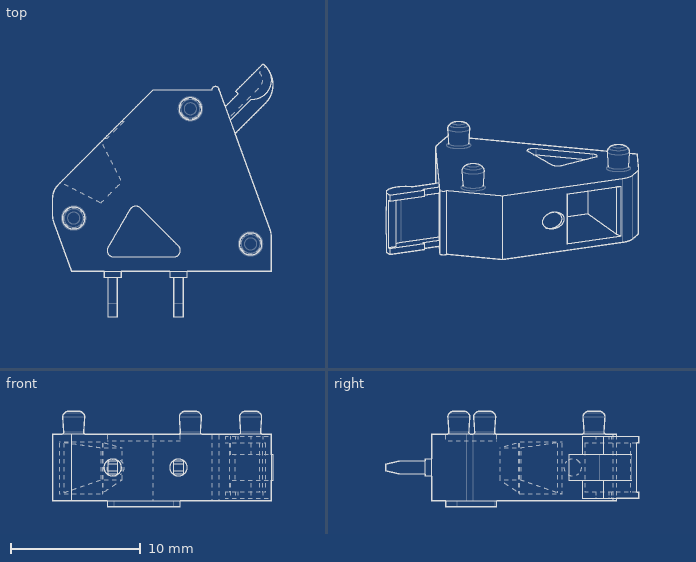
import cadquery as cq
import math

housing_width = 16.87
housing_depth = 13.98
housing_height = 5.13
flank_tan = math.tan(math.radians(20))
left_corner_y = 4.04
right_corner_y = 2.95
slant_corner_y = 6.22
corner_radius = 1.5
bead_radius = 0.27
mid_z = housing_height / 2

diagonal = math.sqrt(0.5)
funnel_top_y = 10.06
funnel_length = 4.66
funnel_low_z = 0.53
funnel_high_z = 4.52
funnel_depth = 3.32
funnel_floor_low_z = 1.6
funnel_floor_high_z = 4.08
funnel_floor_inset = 1.19
funnel_lip_depth = 0.3
funnel_lip_inset = 0.21
test_hole_y = 10.88
test_hole_radius = 0.66
test_hole_depth = 0.2

triangle_radius = 0.5
triangle_left_x = 4.74
triangle_right_x = 9.35
triangle_base_y = 1.6
boss_height = 0.47
pocket_depth = 0.5

peg_places = [(10.63, 12.52), (1.64, 4.1), (15.27, 2.1)]
peg_height = 1.77
peg_root_radius = 0.78
peg_head_radius = 0.85
peg_head_z = 1.33
peg_shoulder_radius = 0.72
peg_shoulder_z = 1.62
peg_crown_radius = 0.47
peg_head_round = 0.37
peg_root_fillet = 0.15

pin_x = 4.65
pin_pitch = 5.07
pin_count = 2
pin_length = 3.53
pin_taper_y = 2.48
pin_width = 0.75
pin_thickness = 1.01
pin_tip_thickness = 0.53
collar_radius = 0.66
collar_length = 0.49

lever_x = 15.37
lever_reach = 4.29
lever_height = 4.78
lever_end_radius = 1.5
lever_rim = 0.27
lever_rim_start = -1.5
lever_tip_x = math.sqrt(lever_end_radius**2 - lever_rim**2)
lever_underside = -1.01
lever_wall = 0.49
cove_radius = 0.82
web_height = 2.0
web_end_radius = 2.0
web_end_x = -0.53
overall_depth = 19.5
lever_y = overall_depth - pin_length - (lever_tip_x + lever_rim) * diagonal


def make_housing():
    right_top_x = housing_width - (housing_depth - right_corner_y) * flank_tan
    block = (
        cq.Workplane("XY")
        .moveTo(left_corner_y * flank_tan, 0)
        .lineTo(housing_width, 0)
        .lineTo(housing_width, right_corner_y)
        .lineTo(right_top_x, housing_depth)
        .lineTo(housing_depth - slant_corner_y, housing_depth)
        .lineTo(0, slant_corner_y)
        .lineTo(0, left_corner_y)
        .close()
        .extrude(housing_height)
    )
    for x, y in [(0, left_corner_y), (0, slant_corner_y), (housing_width, right_corner_y)]:
        corner = cq.selectors.NearestToPointSelector((x, y, mid_z))
        block = block.edges("|Z").edges(corner).fillet(corner_radius)
    bead_x = right_top_x - bead_radius * math.hypot(1, flank_tan)
    bead = cq.Workplane("XY").center(bead_x, housing_depth).circle(bead_radius).extrude(housing_height)
    return block.union(bead)


def slant_frame():
    """Origin on the slant at the funnel mouth; local X up the slant, local Y up, normal inward."""
    origin = (funnel_top_y - slant_corner_y, funnel_top_y, 0)
    return cq.Plane(origin=origin, xDir=(1, 1, 0), normal=(1, -1, 0))


def make_funnel():
    def section(depth, inset):
        share = depth / funnel_depth
        low = funnel_low_z + share * (funnel_floor_low_z - funnel_low_z)
        high = funnel_high_z + share * (funnel_floor_high_z - funnel_high_z)
        frame = cq.Workplane(slant_frame()).workplane(offset=depth)
        outline = frame.center(-funnel_length / 2, (low + high) / 2)
        return outline.rect(funnel_length - 2 * inset, high - low).wires().val()

    mouth = section(0, 0)
    lip = section(funnel_lip_depth, funnel_lip_inset)
    floor = section(funnel_depth, funnel_floor_inset)
    return cq.Workplane(cq.Solid.makeLoft([mouth, lip, floor], True))


def make_test_hole():
    """Hole along X whose floor runs parallel to the slanted face."""
    reach = housing_width
    bore = cq.Workplane("YZ").center(test_hole_y, mid_z).circle(test_hole_radius).extrude(reach)
    floor_depth = test_hole_depth * diagonal
    slab = cq.Workplane(slant_frame()).rect(2 * reach, 2 * reach).extrude(floor_depth)
    return bore.intersect(slab)


def make_triangle(bottom_z, height):
    base = triangle_right_x - triangle_left_x
    rise = base / (1 + 1 / math.tan(math.radians(60)))
    centres = [
        (triangle_left_x, triangle_base_y),
        (triangle_right_x, triangle_base_y),
        (triangle_right_x - rise, triangle_base_y + rise),
    ]
    return (
        cq.Workplane("XY", origin=(0, 0, bottom_z))
        .polyline(centres)
        .close()
        .offset2D(triangle_radius)
        .extrude(height)
    )


def make_peg(x, y):
    """Tapered peg with a flared root and a rounded head, revolved about its axis."""
    return (
        cq.Workplane("XZ", origin=(x, y, housing_height))
        .lineTo(peg_root_radius + peg_root_fillet, 0)
        .radiusArc((peg_root_radius, peg_root_fillet), peg_root_fillet)
        .lineTo(peg_head_radius, peg_head_z)
        .radiusArc((peg_shoulder_radius, peg_shoulder_z), -peg_head_round)
        .radiusArc((peg_crown_radius, peg_height), -peg_head_round)
        .lineTo(0, peg_height)
        .close()
        .revolve(360, (0, 0), (0, 1))
    )


def make_pin(x):
    collar = cq.Workplane("XZ", origin=(x, 0, mid_z)).circle(collar_radius).extrude(collar_length)
    blade = (
        cq.Workplane("YZ", origin=(x, 0, mid_z))
        .polyline([
            (0, pin_thickness / 2),
            (-pin_taper_y, pin_thickness / 2),
            (-pin_length, pin_tip_thickness / 2),
            (-pin_length, -pin_tip_thickness / 2),
            (-pin_taper_y, -pin_thickness / 2),
            (0, -pin_thickness / 2),
        ])
        .close()
        .extrude(pin_width / 2, both=True)
    )
    return collar.union(blade)


def make_lever():
    frame = cq.Workplane(cq.Plane(origin=(lever_x, lever_y, mid_z), xDir=(1, 1, 0), normal=(0, 0, 1)))
    under_x = -math.sqrt(lever_end_radius**2 - lever_underside**2)
    handle = (
        frame.moveTo(lever_tip_x, lever_rim)
        .lineTo(lever_rim_start, lever_rim)
        .lineTo(lever_rim_start, 0)
        .lineTo(-lever_reach, 0)
        .lineTo(-lever_reach, lever_underside)
        .lineTo(under_x, lever_underside)
        .threePointArc((lever_end_radius * diagonal, -lever_end_radius * diagonal), (lever_tip_x, lever_rim))
        .close()
        .extrude(lever_height / 2, both=True)
    )
    web = (
        frame.moveTo(-lever_reach, 0)
        .lineTo(-lever_reach, -web_end_radius)
        .lineTo(web_end_x, -web_end_radius)
        .radiusArc((web_end_x + web_end_radius, 0), -web_end_radius)
        .close()
        .extrude(web_height / 2, both=True)
    )
    recess = (
        frame.moveTo(lever_end_radius, 0)
        .lineTo(cove_radius, 0)
        .radiusArc((0, -cove_radius), cove_radius)
        .lineTo(-lever_reach, -cove_radius)
        .lineTo(-lever_reach, lever_rim)
        .lineTo(lever_end_radius, lever_rim)
        .close()
        .extrude(lever_height / 2 - lever_wall, both=True)
    )
    return handle.union(web).cut(recess)


result = make_housing().union(make_lever())
result = result.cut(make_funnel()).cut(make_test_hole())
result = result.cut(make_triangle(housing_height - pocket_depth, pocket_depth))
result = result.union(make_triangle(-boss_height, boss_height))
for peg_x, peg_y in peg_places:
    result = result.union(make_peg(peg_x, peg_y))
for index in range(pin_count):
    result = result.union(make_pin(pin_x + index * pin_pitch))